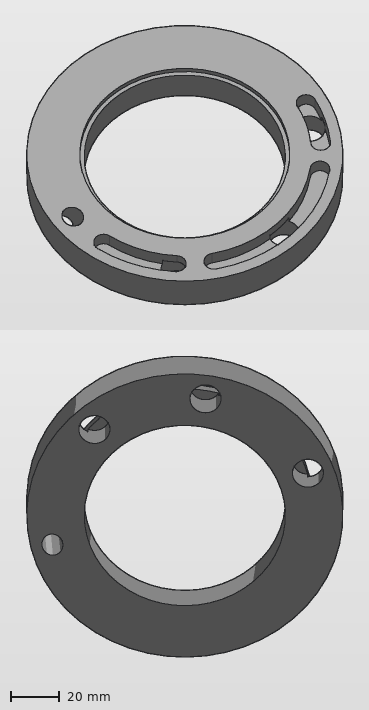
import cadquery as cq
import math

outer_radius = 64.8
thickness = 16.5
bore_radius = 41.2
rebate_radius = 43.0
rebate_depth = 2.2

slot_center_radius = 56.0
slot_width = 8.0
slot_depth = 6.6
slot_angles = [(32.0, 53.6), (-51.4, 18.1), (-100.2, -67.3)]

hole_center_radius = 54.0
hole_radius = 6.3
hole_top = thickness - 4.4
hole_angles = [45.0, -15.0, -67.3]

slant_hole_radius = 4.3
slant_hole_angle = 241.2
slant_hole_tilt = 28.0
slant_heading = 146.0


def polar(radius, angle):
    """Point in plan at a radius and an angle in degrees."""
    turn = math.radians(angle)
    return radius * math.cos(turn), radius * math.sin(turn)


def ring():
    """Flat ring with a shallow rebate around the top of its bore."""
    body = cq.Workplane("XY").circle(outer_radius).circle(bore_radius).extrude(thickness)
    rebate = (
        cq.Workplane("XY", origin=(0, 0, thickness - rebate_depth))
        .circle(rebate_radius)
        .extrude(rebate_depth)
    )
    return body.cut(rebate)


def curved_slot(start, end):
    """Cutter for a round-ended slot concentric with the ring."""
    middle = (start + end) / 2
    inner = slot_center_radius - slot_width / 2
    outer = slot_center_radius + slot_width / 2
    cap_turn = math.degrees(slot_width / 2 / slot_center_radius)
    return (
        cq.Workplane("XY", origin=(0, 0, thickness - slot_depth))
        .moveTo(*polar(inner, start))
        .threePointArc(polar(inner, middle), polar(inner, end))
        .threePointArc(polar(slot_center_radius, end + cap_turn), polar(outer, end))
        .threePointArc(polar(outer, middle), polar(outer, start))
        .threePointArc(polar(slot_center_radius, start - cap_turn), polar(inner, start))
        .close()
        .extrude(slot_depth)
    )


def slanted_hole():
    """Cutter for the slanted hole, long enough to pass both faces."""
    run_x, run_y = polar(math.sin(math.radians(slant_hole_tilt)), slant_heading)
    direction = cq.Vector(run_x, run_y, -math.cos(math.radians(slant_hole_tilt)))
    top_center = cq.Vector(*polar(slot_center_radius, slant_hole_angle), thickness)
    start = top_center - direction * thickness
    return cq.Solid.makeCylinder(slant_hole_radius, 3 * thickness, start, direction)


result = ring()
for start_angle, end_angle in slot_angles:
    result = result.cut(curved_slot(start_angle, end_angle))
bottom_holes = (
    cq.Workplane("XY")
    .pushPoints([polar(hole_center_radius, angle) for angle in hole_angles])
    .circle(hole_radius)
    .extrude(hole_top)
)
result = result.cut(bottom_holes).cut(slanted_hole())